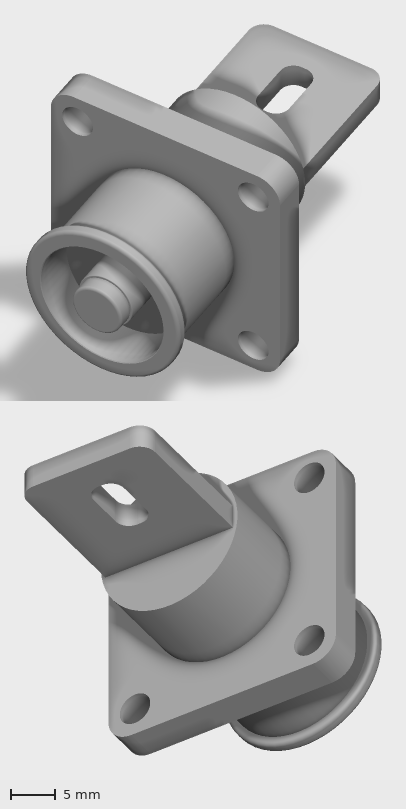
import cadquery as cq

rim_front = 1.1
rim_back = 2.65
flange_front = 14.6
flange_back = 18.6
body_back = 29.6
tab_end = 47.8

body_diameter = 18.0
rim_diameter = 20.2
rim_fillet = 0.45
socket_diameter = 16.0
socket_depth = 5.5
socket_chamfer = 0.1

pin_diameter = 7.0
pin_tip_diameter = 6.4
pin_tip_length = 1.9
pin_tip_fillet = 0.35
pin_shoulder_fillet = 0.1

flange_side = 30.0
flange_corner_radius = 3.0
mount_hole_diameter = 4.0
mount_hole_spacing = 23.0

tab_width = 16.83
tab_thickness = 3.0
tab_corner_radius = 2.0
slot_width = 4.0
slot_length = 8.1
slot_center = 39.8
slot_corner_radius = 1.7


def cylinder_y(diameter, start, end):
    """Cylinder on the Y axis between two positions."""
    return cq.Workplane("XZ", origin=(0, start, 0)).circle(diameter / 2).extrude(start - end)


def make_flange():
    flange = (
        cq.Workplane("XZ", origin=(0, flange_front, 0))
        .rect(flange_side, flange_side)
        .extrude(flange_front - flange_back)
        .edges("|Y")
        .fillet(flange_corner_radius)
    )
    holes = (
        cq.Workplane("XZ", origin=(0, flange_front, 0))
        .rect(mount_hole_spacing, mount_hole_spacing, forConstruction=True)
        .vertices()
        .circle(mount_hole_diameter / 2)
        .extrude(flange_front - flange_back)
    )
    return flange.cut(holes)


def make_shell():
    rim = cylinder_y(rim_diameter, rim_front, rim_back).edges().fillet(rim_fillet)
    body = cylinder_y(body_diameter, rim_back, body_back)
    socket = cylinder_y(socket_diameter, rim_front, rim_front + socket_depth)
    socket_mouth = (
        cq.Workplane("XZ", origin=(0, rim_front, 0))
        .circle(socket_diameter / 2 + socket_chamfer)
        .workplane(offset=-socket_chamfer)
        .circle(socket_diameter / 2)
        .loft()
    )
    return body.union(rim).cut(socket).cut(socket_mouth)


def make_pin():
    tip = cylinder_y(pin_tip_diameter, 0, pin_tip_length).faces("<Y").edges().fillet(pin_tip_fillet)
    shank = cylinder_y(pin_diameter, pin_tip_length, flange_front)
    shank = shank.faces("<Y").edges().fillet(pin_shoulder_fillet)
    return shank.union(tip)


def make_tab():
    tab_length = tab_end - body_back
    tab = (
        cq.Workplane("XY")
        .box(tab_width, tab_length, tab_thickness)
        .translate((0, body_back + tab_length / 2, 0))
        .edges("|Z and >Y")
        .fillet(tab_corner_radius)
    )
    slot = (
        cq.Workplane("XY")
        .box(slot_width, slot_length, tab_thickness)
        .translate((0, slot_center, 0))
        .edges("|Z")
        .fillet(slot_corner_radius)
    )
    return tab.cut(slot)


result = make_shell().union(make_flange()).union(make_pin()).union(make_tab())